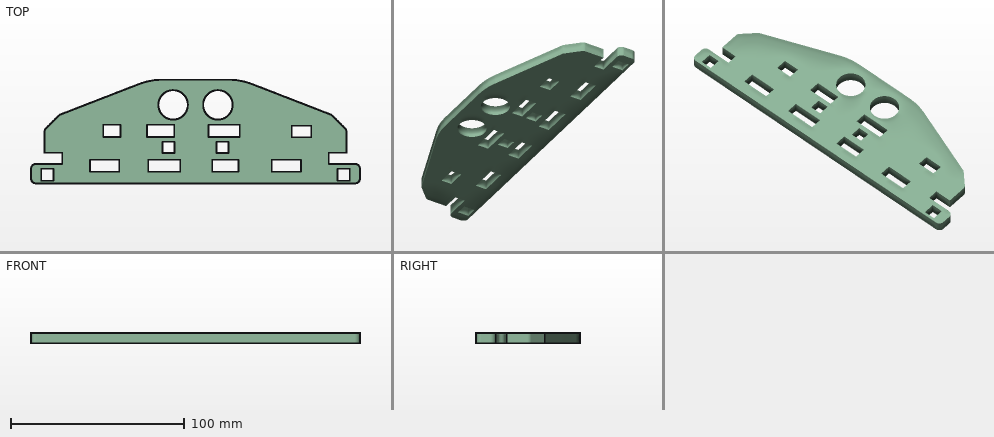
import cadquery as cq

length = 190.0
depth = 60.0
thickness = 6.0

foot_height = 11.4
foot_corner_radius = 3.0
notch_height = 6.3
notch_half_width = 77.0
shoulder_half_width = 87.2
shoulder_height = 31.0
shoulder_radius = 2.8
bevel_half_width = 78.5
bevel_height = 39.7
crown_half_width = 26.0
crown_radius = 36.1

hole_diameter = 17.0
hole_offset = 13.0
hole_height = 45.5

slot_depth = 6.8
short_slot_depth = 6.5
square_width = 6.8
foot_square = (85.5, 5.1)
middle_square = (15.5, 20.9)
lower_row_height = 10.3
upper_row_height = 30.4
outer_slot_width = 16.7
outer_slot_offset = 52.5
lower_slots = [(-18.0, 18.5), (17.3, 15.0)]
upper_slots = [(-48.3, 9.9), (-20.1, 15.5), (16.5, 17.9)]
end_slot_x = 61.2
end_slot_width = 11.0
end_slot_height = 30.0


def make_plate():
    """Extrude the symmetric outline and round its corners."""
    notch_top = foot_height + notch_height
    right_side = [
        (length / 2, 0),
        (length / 2, foot_height),
        (notch_half_width, foot_height),
        (notch_half_width, notch_top),
        (shoulder_half_width, notch_top),
        (shoulder_half_width, shoulder_height),
        (bevel_half_width, bevel_height),
        (crown_half_width, depth),
    ]
    left_side = [(-x, y) for x, y in reversed(right_side)]
    plate = cq.Workplane("XY").polyline(right_side + left_side).close().extrude(thickness)
    roundings = [
        (length / 2, 0, foot_corner_radius),
        (length / 2, foot_height, foot_corner_radius),
        (shoulder_half_width, shoulder_height, shoulder_radius),
        (crown_half_width, depth, crown_radius),
    ]
    for x, y, radius in roundings:
        for side in (-1, 1):
            corner = cq.selectors.NearestToPointSelector((side * x, y, thickness / 2))
            plate = plate.edges("|Z").edges(corner).fillet(radius)
    return plate


def slot(x, y, width, slot_size_y=slot_depth):
    """Rectangular cutter through the plate, centred on (x, y)."""
    return cq.Workplane("XY").center(x, y).rect(width, slot_size_y).extrude(thickness)


def mirrored_slots(x, y, width, slot_size_y=slot_depth):
    """Pair of rectangular cutters on both sides of the centre line."""
    return slot(x, y, width, slot_size_y).union(slot(-x, y, width, slot_size_y))


result = make_plate()

hole_centres = [(-hole_offset, hole_height), (hole_offset, hole_height)]
result = result.cut(
    cq.Workplane("XY").pushPoints(hole_centres).circle(hole_diameter / 2).extrude(thickness)
)

result = result.cut(mirrored_slots(*foot_square, square_width))
result = result.cut(mirrored_slots(*middle_square, square_width, short_slot_depth))
result = result.cut(mirrored_slots(outer_slot_offset, lower_row_height, outer_slot_width))

for slot_x, slot_width in lower_slots:
    result = result.cut(slot(slot_x, lower_row_height, slot_width))
for slot_x, slot_width in upper_slots:
    result = result.cut(slot(slot_x, upper_row_height, slot_width))
result = result.cut(slot(end_slot_x, end_slot_height, end_slot_width, short_slot_depth))